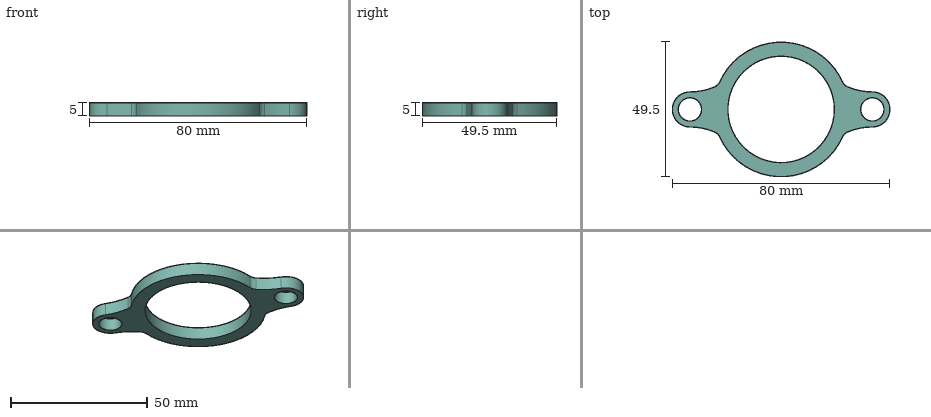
import cadquery as cq
import math

length = 80.0
thickness = 5.0
ring_diameter = 49.5
bore_diameter = 39.0

ear_radius = 6.5
ear_hole_diameter = 8.5
flare_radius = 23.2
neck_fillet_radius = 3.5

ring_radius = ring_diameter / 2
ear_x = length / 2 - ear_radius

flare_center_y = ear_radius + flare_radius
center_distance = math.hypot(ear_x, flare_center_y)
along = (center_distance**2 + ring_radius**2 - flare_radius**2) / (2 * center_distance)
meeting_angle = math.atan2(flare_center_y, ear_x) - math.acos(along / ring_radius)
meet_x = ring_radius * math.cos(meeting_angle)
meet_y = ring_radius * math.sin(meeting_angle)

flare_sweep = math.atan2(ear_x - meet_x, flare_center_y - meet_y)
mid_x = ear_x - flare_radius * math.sin(flare_sweep / 2)
mid_y = flare_center_y - flare_radius * math.cos(flare_sweep / 2)


def make_ear(side):
    """Ear with flared neck; side is +1 for +X and -1 for -X."""
    return (
        cq.Workplane("XY")
        .moveTo(0, meet_y)
        .lineTo(side * meet_x, meet_y)
        .threePointArc((side * mid_x, mid_y), (side * ear_x, ear_radius))
        .threePointArc((side * length / 2, 0), (side * ear_x, -ear_radius))
        .threePointArc((side * mid_x, -mid_y), (side * meet_x, -meet_y))
        .lineTo(0, -meet_y)
        .close()
        .extrude(thickness)
    )


body = cq.Workplane("XY").circle(ring_radius).extrude(thickness)
for side in (-1, 1):
    body = body.union(make_ear(side))

for x in (-meet_x, meet_x):
    for y in (-meet_y, meet_y):
        corner = cq.selectors.NearestToPointSelector((x, y, thickness / 2))
        body = body.edges("|Z").edges(corner).fillet(neck_fillet_radius)

bore = cq.Workplane("XY").circle(bore_diameter / 2).extrude(thickness)
ear_holes = (
    cq.Workplane("XY")
    .pushPoints([(-ear_x, 0), (ear_x, 0)])
    .circle(ear_hole_diameter / 2)
    .extrude(thickness)
)
result = body.cut(bore).cut(ear_holes)